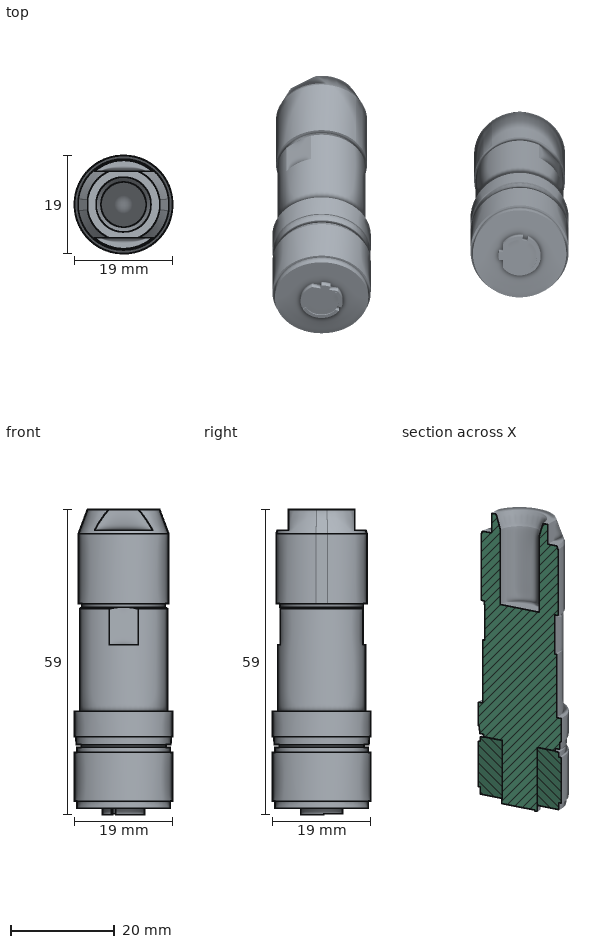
import cadquery as cq

TOTAL_HEIGHT = 59
INSERT_CORE_Z = 0.2
RING_BOTTOM_Z = 1.25
RING_GRIP_BOTTOM_Z = 2.65
RING_GRIP_TOP_Z = 12.05
RING_TOP_Z = 13.05
COLLAR_BOTTOM_Z = 13.55
COLLAR_LIP_Z = 15.1
COLLAR_TOP_Z = 20.0
BARREL_FLAT_BOTTOM_Z = 32.85
BARREL_CHAMFER_Z = 39.75
BARREL_TOP_Z = 40.05
NUT_BOTTOM_Z = 40.75
NUT_CONE_Z = 54.3
NUT_FLAT_BOTTOM_Z = 55.0

GRIP_RADIUS = 9.5
RING_END_RADIUS = 9.0
COLLAR_LIP_TOP_RADIUS = 9.25
COLLAR_LIP_BOTTOM_RADIUS = 9.15
NECK_RADIUS = 8.2
BARREL_RADIUS = 8.5
GROOVE_RADIUS = 8.1
NUT_RADIUS = 8.8
NUT_TOP_RADIUS = 7.0
STEM_RADIUS = 4.1

NUT_SIDE_FLAT_INSET = 0.07
NUT_WRENCH_FLAT = 6.45
BARREL_WRENCH_FLAT = 8.0

ENTRY_MOUTH_RADIUS = 5.3
ENTRY_BORE_RADIUS = 4.35
ENTRY_CONE_DEPTH = 3.0
ENTRY_BOTTOM_Z = NUT_BOTTOM_Z

INSERT_FLAT = 3.2
INSERT_FLAT_ANGLE = 135
INSERT_KEY_WIDTH = 1.75
RIM_INNER_RADIUS = 3.35
RIM_END_Y = 0.44
KEYWAY_WIDTH = 1.0
KEYWAY_FLOOR = 3.3
KEYWAY_ANGLE = 241


def turned(profile):
    """Solid of revolution about Z from (radius, height) points."""
    return cq.Workplane("XZ").polyline(profile).close().revolve(360, (0, 0, 0), (0, 1, 0))


def slab(x_min, x_max, y_min, y_max, z_min, z_max):
    """Axis-aligned block between the given limits."""
    size = (x_max - x_min, y_max - y_min, z_max - z_min)
    return cq.Workplane("XY").box(*size, centered=False).translate((x_min, y_min, z_min))


def make_housing_blank():
    """Stem, neck, collar and barrel turned in one piece."""
    return turned([
        (0, INSERT_CORE_Z),
        (STEM_RADIUS, INSERT_CORE_Z),
        (STEM_RADIUS, RING_TOP_Z),
        (NECK_RADIUS, RING_TOP_Z),
        (NECK_RADIUS, COLLAR_BOTTOM_Z),
        (COLLAR_LIP_BOTTOM_RADIUS, COLLAR_BOTTOM_Z),
        (COLLAR_LIP_TOP_RADIUS, COLLAR_LIP_Z),
        (GRIP_RADIUS, COLLAR_LIP_Z),
        (GRIP_RADIUS, COLLAR_TOP_Z),
        (BARREL_RADIUS, COLLAR_TOP_Z),
        (BARREL_RADIUS, BARREL_CHAMFER_Z),
        (GROOVE_RADIUS, BARREL_TOP_Z),
        (GROOVE_RADIUS, NUT_BOTTOM_Z),
        (0, NUT_BOTTOM_Z),
    ])


def cut_barrel_flats(housing):
    """Wrench flats on the -Y and +Y sides of the barrel's upper end."""
    flat_cut = slab(
        -BARREL_RADIUS, BARREL_RADIUS,
        BARREL_WRENCH_FLAT, BARREL_RADIUS,
        BARREL_FLAT_BOTTOM_Z, BARREL_TOP_Z,
    )
    return housing.cut(flat_cut).cut(flat_cut.mirror("XZ"))


def make_nut():
    """Clamping nut: tapered top, narrow side flats along X, stepped wrench flats along Y."""
    nut = turned([
        (0, NUT_BOTTOM_Z),
        (NUT_RADIUS, NUT_BOTTOM_Z),
        (NUT_RADIUS, NUT_CONE_Z),
        (NUT_TOP_RADIUS, TOTAL_HEIGHT),
        (0, TOTAL_HEIGHT),
    ])
    side_x = NUT_RADIUS - NUT_SIDE_FLAT_INSET
    top_x = NUT_TOP_RADIUS - NUT_SIDE_FLAT_INSET
    side_outline = (
        cq.Workplane("XZ")
        .polyline([
            (-side_x, NUT_BOTTOM_Z),
            (side_x, NUT_BOTTOM_Z),
            (side_x, NUT_CONE_Z),
            (top_x, TOTAL_HEIGHT),
            (-top_x, TOTAL_HEIGHT),
            (-side_x, NUT_CONE_Z),
        ])
        .close()
        .extrude(NUT_RADIUS, both=True)
    )
    wrench_cut = slab(
        -NUT_RADIUS, NUT_RADIUS,
        NUT_WRENCH_FLAT, NUT_RADIUS,
        NUT_FLAT_BOTTOM_Z, TOTAL_HEIGHT,
    )
    return nut.intersect(side_outline).cut(wrench_cut).cut(wrench_cut.mirror("XZ"))


def make_cable_entry():
    """Blind bore with a conical mouth."""
    cone_bottom_z = TOTAL_HEIGHT - ENTRY_CONE_DEPTH
    return turned([
        (0, ENTRY_BOTTOM_Z),
        (ENTRY_BORE_RADIUS, ENTRY_BOTTOM_Z),
        (ENTRY_BORE_RADIUS, cone_bottom_z),
        (ENTRY_MOUTH_RADIUS, TOTAL_HEIGHT),
        (0, TOTAL_HEIGHT),
    ])


def make_insert_rim():
    """Thin raised rim around the -Y part of the insert's end."""
    rim = cq.Workplane("XY").circle(STEM_RADIUS).circle(RIM_INNER_RADIUS).extrude(RING_BOTTOM_Z)
    rim_span = slab(-STEM_RADIUS, STEM_RADIUS, -STEM_RADIUS, RIM_END_Y, 0, RING_BOTTOM_Z)
    return rim.intersect(rim_span)


def cut_insert_details(housing):
    """Keyway groove, and a flat interrupted by a central key, on the exposed insert."""
    keyway = slab(
        KEYWAY_FLOOR, STEM_RADIUS,
        -KEYWAY_WIDTH / 2, KEYWAY_WIDTH / 2,
        0, RING_BOTTOM_Z,
    ).rotate((0, 0, 0), (0, 0, 1), KEYWAY_ANGLE)
    flat_half = slab(
        INSERT_FLAT, STEM_RADIUS,
        INSERT_KEY_WIDTH / 2, STEM_RADIUS,
        0, RING_BOTTOM_Z,
    )
    flat = flat_half.union(flat_half.mirror("XZ")).rotate((0, 0, 0), (0, 0, 1), INSERT_FLAT_ANGLE)
    return housing.cut(keyway).cut(flat)


def make_housing():
    """Connector body from the cable nut down to the contact insert."""
    housing = cut_barrel_flats(make_housing_blank())
    housing = housing.union(make_nut()).cut(make_cable_entry())
    return cut_insert_details(housing.union(make_insert_rim()))


def make_coupling_ring():
    """Ring carried on the stem, seated against the neck."""
    return turned([
        (STEM_RADIUS, RING_BOTTOM_Z),
        (RING_END_RADIUS, RING_BOTTOM_Z),
        (RING_END_RADIUS, RING_GRIP_BOTTOM_Z),
        (GRIP_RADIUS, RING_GRIP_BOTTOM_Z),
        (GRIP_RADIUS, RING_GRIP_TOP_Z),
        (RING_END_RADIUS, RING_GRIP_TOP_Z),
        (RING_END_RADIUS, RING_TOP_Z),
        (STEM_RADIUS, RING_TOP_Z),
    ])


housing = make_housing()
coupling_ring = make_coupling_ring()

result = cq.Compound.makeCompound([housing.val(), coupling_ring.val()])